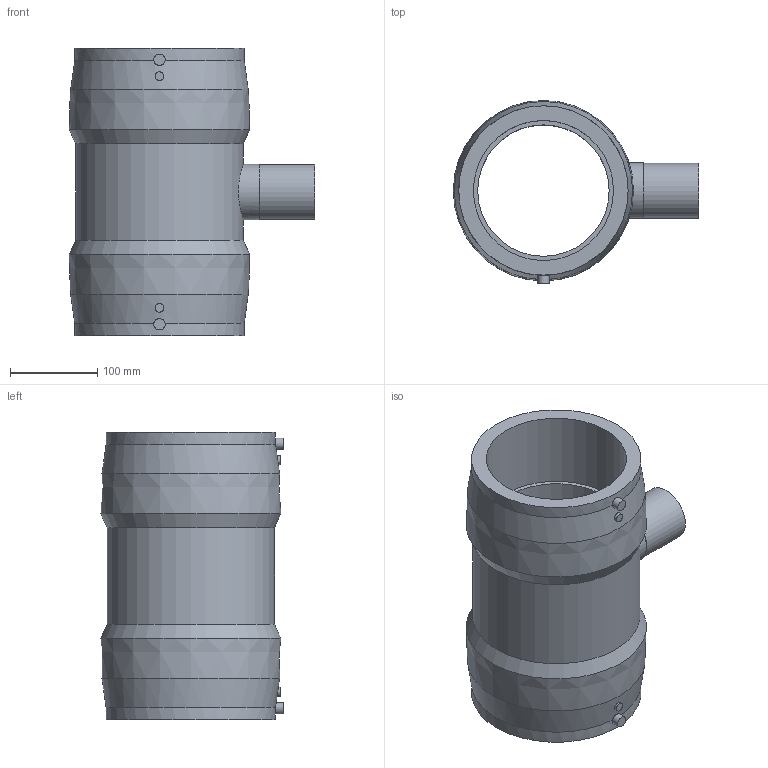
import cadquery as cq
import math

length = 330.0
half_length = length / 2
end_radius = 97.3
cone_radius = 102.0
flare_radius = 103.5
middle_radius = 96.2

end_band_depth = 14.0
cone_depth = 47.0
flare_depth = 93.5
shoulder_depth = 109.5

socket_radius = 80.5
socket_depth = 88.7
bore_radius = 75.5

branch_radius = 31.5
branch_reach = 178.3
collar_radius = 32.0
collar_reach = 115.0
branch_root = (bore_radius + middle_radius) / 2

terminal_radius = 6.5
terminal_depth = 13.0
terminal_reach = 106.3
indicator_radius = 5.0
indicator_depth = 32.0
indicator_reach = 102.8
pin_root = (socket_radius + end_radius) / 2


def barrel_midpoint():
    """Radius and height halfway along the barrel arc, which leaves its widest circle parallel to Z."""
    rise = flare_depth - cone_depth
    drop = flare_radius - cone_radius
    arc_radius = (rise**2 + drop**2) / (2 * drop)
    half_rise = rise / 2
    half_drop = arc_radius - math.sqrt(arc_radius**2 - half_rise**2)
    return flare_radius - half_drop, half_length - flare_depth + half_rise


def sleeve():
    """Solid sleeve: end band, cone, barrel and shoulder of both sockets, with the middle between."""
    shoulder_z = half_length - shoulder_depth
    flare_z = half_length - flare_depth
    cone_z = half_length - cone_depth
    band_z = half_length - end_band_depth
    barrel_radius, barrel_z = barrel_midpoint()
    return (
        cq.Workplane("XZ")
        .moveTo(0, -half_length)
        .lineTo(end_radius, -half_length)
        .lineTo(end_radius, -band_z)
        .lineTo(cone_radius, -cone_z)
        .threePointArc((barrel_radius, -barrel_z), (flare_radius, -flare_z))
        .lineTo(middle_radius, -shoulder_z)
        .lineTo(middle_radius, shoulder_z)
        .lineTo(flare_radius, flare_z)
        .threePointArc((barrel_radius, barrel_z), (cone_radius, cone_z))
        .lineTo(end_radius, band_z)
        .lineTo(end_radius, half_length)
        .lineTo(0, half_length)
        .close()
        .revolve(360, (0, 0, 0), (0, 1, 0))
    )


def cylinder_along_x(radius, start, end):
    return cq.Workplane("YZ", origin=(start, 0, 0)).circle(radius).extrude(end - start)


def pin(radius, reach, z):
    """Round pin pointing to -Y, ending at the given distance from the axis."""
    return cq.Workplane("XZ", origin=(0, -pin_root, z)).circle(radius).extrude(reach - pin_root)


def bore():
    """Through bore, widened to a socket at both ends."""
    cutter = cq.Workplane("XY", origin=(0, 0, -half_length)).circle(bore_radius).extrude(length)
    for start in (-half_length, half_length - socket_depth):
        socket = cq.Workplane("XY", origin=(0, 0, start)).circle(socket_radius).extrude(socket_depth)
        cutter = cutter.union(socket)
    return cutter


def branch():
    """Branch pipe with a slightly larger collar where it meets the sleeve."""
    collar = cylinder_along_x(collar_radius, branch_root, collar_reach)
    pipe = cylinder_along_x(branch_radius, branch_root, branch_reach)
    return collar.union(pipe)


body = sleeve().cut(bore()).union(branch())

for side in (-1, 1):
    terminal_z = side * (half_length - terminal_depth)
    indicator_z = side * (half_length - indicator_depth)
    body = body.union(pin(terminal_radius, terminal_reach, terminal_z))
    body = body.union(pin(indicator_radius, indicator_reach, indicator_z))

result = body